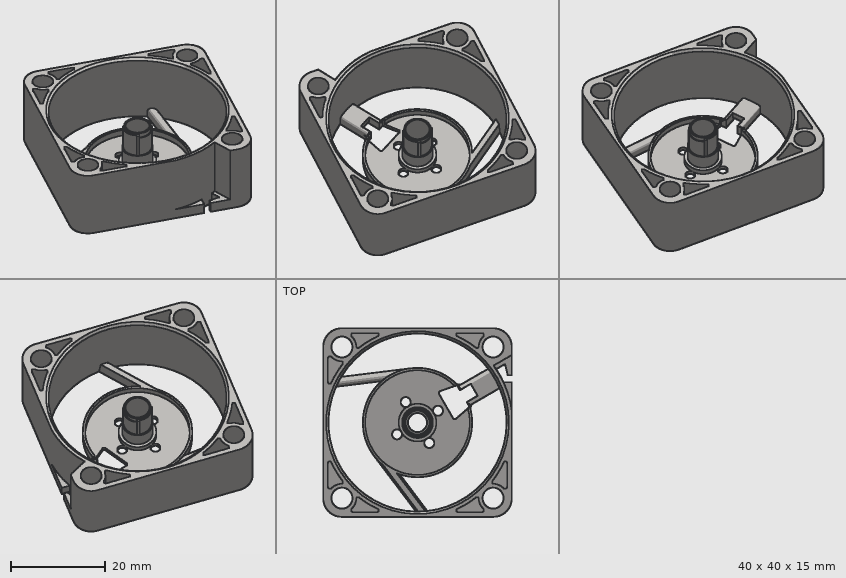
import cadquery as cq
import math

frame_side = 40.0
frame_height = 15.0
corner_radius = 4.0
mount_hole_radius = 2.2
mount_hole_offset = 16.0

duct_radius = 18.85
duct_lip_radius = 19.35
duct_lip_depth = 0.5
duct_ring_radius = 20.1

pocket_outer_edge = 18.95
pocket_end = 14.0
pocket_inner_limit = 14.4
pocket_hole_clearance = 3.05
pocket_fillet = 0.35

hub_radius = 11.6
hub_inner_radius = 11.1
hub_floor = 0.9
hub_height = 2.3
hub_hole_radius = 1.05
hub_hole_circle = 5.0

pad_radius = 4.0
pad_top = 2.1
boss_radius = 3.3
boss_top = 5.4
tube_radius = 3.0
tube_shoulder = 9.9
collar_top = 10.5
tube_tip_radius = 2.85
tube_top = 10.95
tube_bore_radius = 2.5
rib_radius = 3.15
rib_width = 0.55
first_rib_angle = 74.0
shaft_hole_radius = 2.0

strut_width = 2.0
strut_bevel_run = 0.35
flat_strut_angle = -53.0
round_strut_angle = 187.0

cable_angle = 30.0
arm_half_width = 2.4
channel_half_width = 1.45
arm_left_round = 0.95
arm_right_round = 0.45
arm_root_radius = 1.2
cable_window_start = 7.0
cable_window_half_width = 3.45
cable_window_rim_half_width = 2.65
cable_window_rim = 11.2
cable_window_end = 13.85
cable_window_fillet = 0.4

exit_floor = hub_height
exit_bottom_edge = 8.55
exit_gap_top = 10.0
hook_tip_width = 0.9
hook_root_width = 1.45
hook_root = 12.2

half_side = frame_side / 2
reach = frame_side


def cylinder(radius, bottom, top):
    return cq.Workplane("XY").workplane(offset=bottom).circle(radius).extrude(top - bottom)


def prism(points, bottom, top):
    return cq.Workplane("XY").workplane(offset=bottom).polyline(points).close().extrude(top - bottom)


def block(x_range, y_range, z_range):
    (x0, x1), (y0, y1), (z0, z1) = x_range, y_range, z_range
    return cq.Workplane("XY").box(x1 - x0, y1 - y0, z1 - z0, centered=False).translate((x0, y0, z0))


def turned(shape, angle):
    return shape.rotate((0, 0, 0), (0, 0, 1), angle)


def make_frame():
    frame = (
        cq.Workplane("XY")
        .rect(frame_side, frame_side)
        .extrude(frame_height)
        .edges("|Z")
        .fillet(corner_radius)
    )
    mount_holes = (
        cq.Workplane("XY")
        .rect(2 * mount_hole_offset, 2 * mount_hole_offset, forConstruction=True)
        .vertices()
        .circle(mount_hole_radius)
        .extrude(frame_height)
    )
    lip = (
        cq.Workplane("XY")
        .workplane(offset=frame_height - duct_lip_depth)
        .circle(duct_radius)
        .workplane(offset=duct_lip_depth)
        .circle(duct_lip_radius)
        .loft()
    )
    return frame.cut(mount_holes).cut(cylinder(duct_radius, 0, frame_height)).cut(lip)


def make_pocket():
    """Pocket along the +Y edge, right of the hole at the -X corner."""
    depth_range = (hub_height, frame_height)
    pocket = block((-pocket_end, 0), (pocket_inner_limit, pocket_outer_edge), depth_range)
    pocket = pocket.cut(cylinder(duct_ring_radius, *depth_range))
    hole_wall = cylinder(pocket_hole_clearance, *depth_range)
    pocket = pocket.cut(hole_wall.translate((-mount_hole_offset, mount_hole_offset, 0)))
    return pocket.edges("|Z").fillet(pocket_fillet)


def cut_pockets(frame):
    pocket = make_pocket()
    mirrored = pocket.mirror("YZ")
    for side in range(4):
        frame = frame.cut(turned(mirrored, 90 * side))
        if side != 3:
            frame = frame.cut(turned(pocket, 90 * side))
    return frame


def cut_cable_exit(frame):
    ring = cylinder(duct_ring_radius, 0, frame_height)

    recess = turned(block((0, reach), (-reach, arm_half_width), (exit_floor, frame_height)), cable_angle)
    recess = recess.intersect(block((0, half_side), (0, half_side), (0, frame_height))).cut(ring)

    slot = turned(block((0, reach), (-reach, channel_half_width), (0, exit_floor)), cable_angle)
    slot = slot.intersect(block((0, half_side), (exit_bottom_edge, half_side), (0, exit_floor)))
    hook = prism(
        [
            (half_side, exit_gap_top),
            (half_side - hook_tip_width, exit_gap_top),
            (half_side - hook_root_width, hook_root),
            (half_side - hook_root_width, half_side),
            (half_side, half_side),
        ],
        0,
        exit_floor,
    )
    slot = slot.cut(ring).cut(hook)
    return frame.cut(recess).cut(slot)


def make_flat_strut():
    outer, inner = -hub_radius, strut_width - hub_radius
    profile = [
        (outer, 0),
        (inner, 0),
        (inner - strut_bevel_run, hub_height),
        (outer + strut_bevel_run, hub_height),
    ]
    strut = cq.Workplane("YZ").polyline(profile).close().extrude(duct_ring_radius)
    return turned(strut, flat_strut_angle)


def make_round_strut():
    """Bar with straight sides and a half-round top."""
    outer, inner = -hub_radius, strut_width - hub_radius
    shoulder = hub_height - strut_width / 2
    strut = (
        cq.Workplane("YZ")
        .moveTo(outer, 0)
        .lineTo(outer, shoulder)
        .threePointArc(((outer + inner) / 2, hub_height), (inner, shoulder))
        .lineTo(inner, 0)
        .close()
        .extrude(duct_ring_radius)
    )
    return turned(strut, round_strut_angle)


def make_cable_arm():
    arm = block((0, duct_ring_radius), (-arm_half_width, arm_half_width), (0, hub_height))
    arm = arm.edges("|X and >Z and >Y").fillet(arm_left_round)
    arm = arm.edges("|X and >Z and <Y").fillet(arm_right_round)
    return turned(arm, cable_angle)


def make_arm_root():
    """Concave webs that blend both sides of the arm into the hub."""
    centre_offset = arm_half_width + arm_root_radius
    centre_length = math.sqrt((hub_radius + arm_root_radius) ** 2 - centre_offset**2)
    tangent_offset = centre_offset * hub_radius / (hub_radius + arm_root_radius)
    tangent_length = centre_length * hub_radius / (hub_radius + arm_root_radius)
    web = prism(
        [
            (tangent_length, 0),
            (centre_length, 0),
            (centre_length, arm_half_width),
            (centre_length, centre_offset),
            (tangent_length, tangent_offset),
        ],
        0,
        hub_height - arm_left_round,
    )
    notch = cylinder(arm_root_radius, 0, hub_height).translate((centre_length, centre_offset, 0))
    web = web.cut(notch)
    return turned(web.union(web.mirror("XZ")), cable_angle)


def make_cable_opening():
    """Window through the hub floor and the channel under the arm."""
    window = prism(
        [
            (cable_window_start, -cable_window_half_width),
            (cable_window_rim, -cable_window_rim_half_width),
            (cable_window_rim, cable_window_rim_half_width),
            (cable_window_start, cable_window_half_width),
        ],
        0,
        hub_height,
    )
    window = window.edges("|Z and <X").fillet(cable_window_fillet)
    throat = block(
        (cable_window_start, cable_window_end), (-channel_half_width, channel_half_width), (0, hub_height)
    )
    channel = block(
        (cable_window_start, duct_ring_radius), (-channel_half_width, channel_half_width), (0, hub_floor)
    )
    return turned(window.union(throat).union(channel), cable_angle)


def make_tube_rib():
    """Upright rib with a sloped top, on the +X side of the tube."""
    rib_root = (tube_bore_radius + tube_tip_radius) / 2
    profile = [
        (rib_root, boss_top),
        (rib_radius, boss_top),
        (rib_radius, tube_top - (rib_radius - rib_root)),
        (rib_root, tube_top),
    ]
    return cq.Workplane("XZ").polyline(profile).close().extrude(rib_width / 2, both=True)


def make_tube():
    tube = cylinder(pad_radius, 0, pad_top)
    tube = tube.union(cylinder(boss_radius, 0, boss_top))
    tube = tube.union(cylinder(tube_radius, 0, tube_shoulder))
    tube = tube.union(cylinder(tube_tip_radius, 0, tube_top))
    collar = block((0, reach), (0, reach), (tube_shoulder, collar_top))
    collar = collar.intersect(cylinder(tube_radius, tube_shoulder, collar_top))
    for index in range(2):
        tube = tube.union(turned(collar, first_rib_angle + 180 * index))
    for index in range(4):
        tube = tube.union(turned(make_tube_rib(), first_rib_angle + 90 * index))
    return tube.cut(cylinder(tube_bore_radius, hub_floor, tube_top))


frame = cut_cable_exit(cut_pockets(make_frame()))

spider = make_flat_strut().union(make_round_strut()).union(make_cable_arm()).union(make_arm_root())
spider = spider.union(cylinder(hub_radius, 0, hub_height))
spider = spider.cut(cylinder(hub_inner_radius, hub_floor, hub_height + 0.4))
spider = spider.cut(make_cable_opening())
spider = spider.union(make_tube())
hub_holes = (
    cq.Workplane("XY")
    .polarArray(hub_hole_circle, cable_angle, 360, 4)
    .circle(hub_hole_radius)
    .extrude(hub_height)
)
spider = spider.cut(hub_holes).cut(cylinder(shaft_hole_radius, 0, hub_height))

result = frame.union(spider.intersect(cylinder(duct_lip_radius, 0, frame_height)))